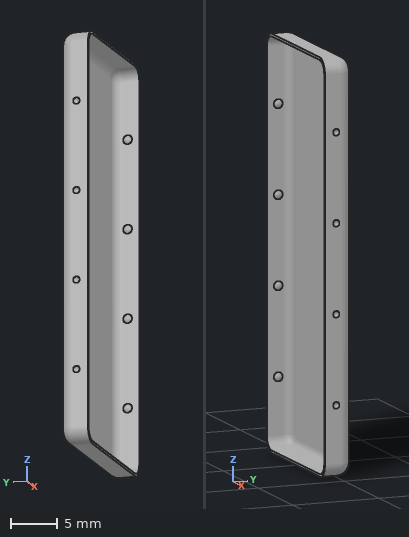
import cadquery as cq

width = 17.0
depth = 3.2
height = 46.1

wall = 0.3
corner_radius = 1.6
back_edge_radius = 1.3

dimple_count = 4
dimple_pitch = 10.0
dimple_from_rim = 1.3
dimple_mouth_radius = 0.37
dimple_depth = 0.2

hollow_radius = (dimple_mouth_radius**2 + dimple_depth**2) / (2 * dimple_depth)
bump_radius = hollow_radius + wall
center_outside_wall = hollow_radius - dimple_depth

rim_y = -depth / 2


def rounded_block(inset):
    """Block from the rim toward +Y with rounded corners and back edge, inset on all other sides."""
    block_depth = depth - inset
    block = cq.Workplane("XY").box(width - 2 * inset, block_depth, height - 2 * inset)
    block = block.translate((0, rim_y + block_depth / 2, 0))
    block = block.edges("|Y").fillet(corner_radius - inset)
    return block.faces(">Y").edges().fillet(back_edge_radius - inset)


def make_tray():
    return rounded_block(0).cut(rounded_block(wall))


def dimple_sphere(radius, side, z):
    """Sphere centered just outside a long wall, with its poles along X."""
    center = cq.Vector(side * (width / 2 + center_outside_wall), rim_y + dimple_from_rim, z)
    return cq.Workplane(cq.Solid.makeSphere(radius, center, cq.Vector(1, 0, 0), -90, 90, 360))


def add_dimple(tray, side, z):
    """Press one dimple: a hollow outside and a concentric bump inside, one wall apart."""
    between_wall_middles = cq.Workplane("XY").box(width - wall, depth, height)
    bump = dimple_sphere(bump_radius, side, z).intersect(between_wall_middles)
    hollow = dimple_sphere(hollow_radius, side, z)
    return tray.union(bump).cut(hollow)


result = make_tray()
for side in (-1, 1):
    for index in range(dimple_count):
        z = (index - (dimple_count - 1) / 2) * dimple_pitch
        result = add_dimple(result, side, z)